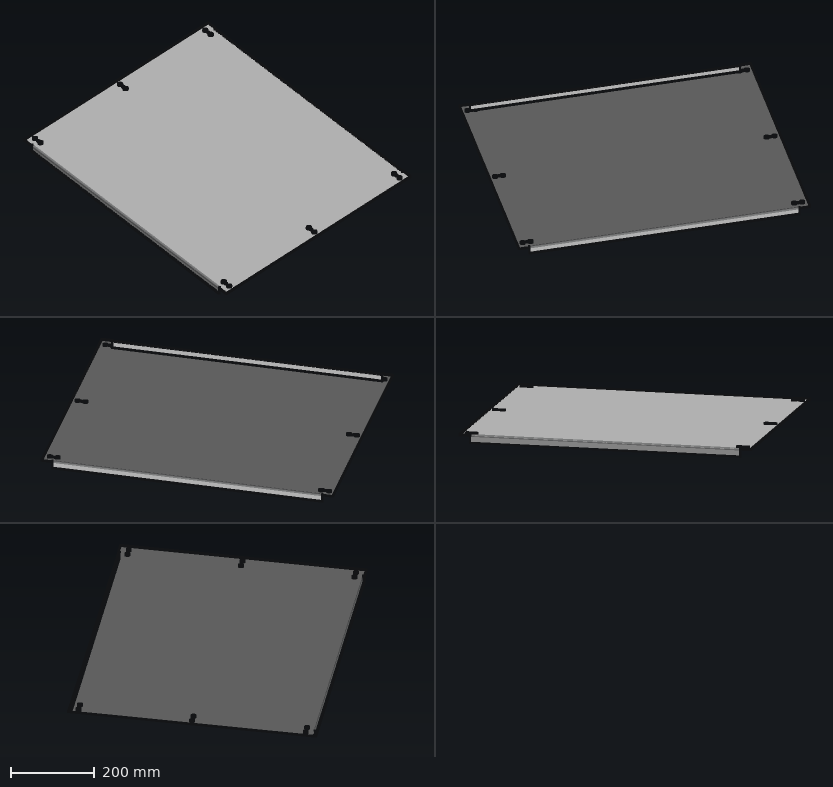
import cadquery as cq

length_x = 717.5
width_y = 597.5
height = 20.0

sheet = 2.5
inner_bend_radius = 1.0
outer_bend_radius = inner_bend_radius + sheet
flange_setback = 26.0
flange_length = length_x - 2 * flange_setback
plate_bottom = height - sheet

hole_diameter = 9.5
hole_inset_x = 14.5
hole_x = length_x / 2 - hole_inset_x

keyhole_diameter = 10.0
keyhole_pitch = 19.25
keyhole_x = hole_x - keyhole_pitch
slot_width = 4.0
slot_reach = 9.0

row_inset_y = 22.75
row_y = width_y / 2 - row_inset_y


def bar_with_rounded_top(width, top, radius):
    """Bar as long as the flanges, standing on Z = 0, with its long top edges rounded."""
    bar = cq.Workplane("XY").box(flange_length, width, top, centered=(True, True, False))
    return bar.edges("|X and >Z").fillet(radius)


def folded_channel():
    """Middle stretch of the panel with both long sides bent down."""
    outside = bar_with_rounded_top(width_y, height, outer_bend_radius)
    inside = bar_with_rounded_top(width_y - 2 * sheet, plate_bottom, inner_bend_radius)
    return outside.cut(inside)


def end_strip(side):
    """Flat part of the panel beyond the flange ends, at -X (side = -1) or +X (side = 1)."""
    strip = cq.Workplane("XY").box(flange_setback, width_y, sheet, centered=(True, True, False))
    return strip.translate((side * (length_x - flange_setback) / 2, 0, plate_bottom))


def round_cutter(x, y, diameter):
    """Vertical cylinder that cuts right through the panel."""
    return cq.Workplane("XY").center(x, y).circle(diameter / 2).extrude(height)


def keyhole_cutter(side, y):
    """Keyhole whose narrow slot points towards the near panel end."""
    entry = round_cutter(side * keyhole_x, y, keyhole_diameter)
    slot = (
        cq.Workplane("XY")
        .center(side * (keyhole_x + slot_reach / 2), y)
        .slot2D(slot_reach + slot_width, slot_width)
        .extrude(height)
    )
    return entry.union(slot)


result = folded_channel()
for side in (-1, 1):
    result = result.union(end_strip(side))
    for y in (-row_y, 0, row_y):
        result = result.cut(round_cutter(side * hole_x, y, hole_diameter))
        result = result.cut(keyhole_cutter(side, y))